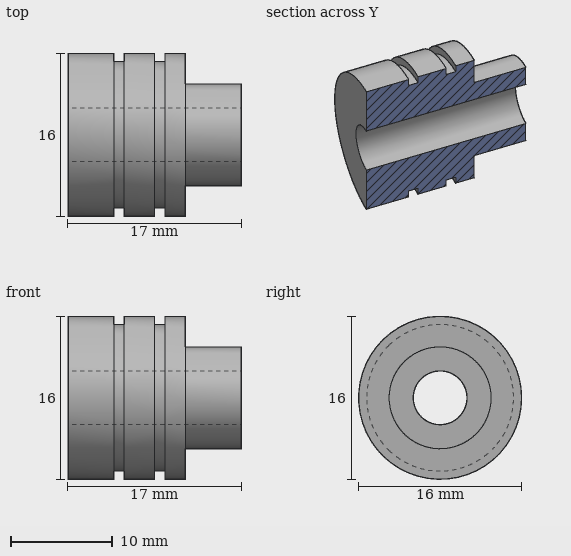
import cadquery as cq

total_length = 17.0
head_length = 11.5
head_diameter = 16.0
stem_diameter = 10.0
bore_diameter = 5.25

groove_diameter = 14.4
groove_width = 1.0
groove_starts = (4.5, 8.5)


def cylinder_along_x(diameter, start, length):
    """Solid cylinder on the X axis, from start to start + length."""
    return cq.Workplane("YZ", origin=(start, 0, 0)).circle(diameter / 2).extrude(length)


def groove_ring(start):
    """Ring of material removed from the head to leave one groove."""
    outer = cylinder_along_x(head_diameter, start, groove_width)
    core = cylinder_along_x(groove_diameter, start, groove_width)
    return outer.cut(core)


head = cylinder_along_x(head_diameter, 0, head_length)
stem = cylinder_along_x(stem_diameter, head_length, total_length - head_length)
body = head.union(stem)

for groove_start in groove_starts:
    body = body.cut(groove_ring(groove_start))

bore = cylinder_along_x(bore_diameter, 0, total_length)
result = body.cut(bore)